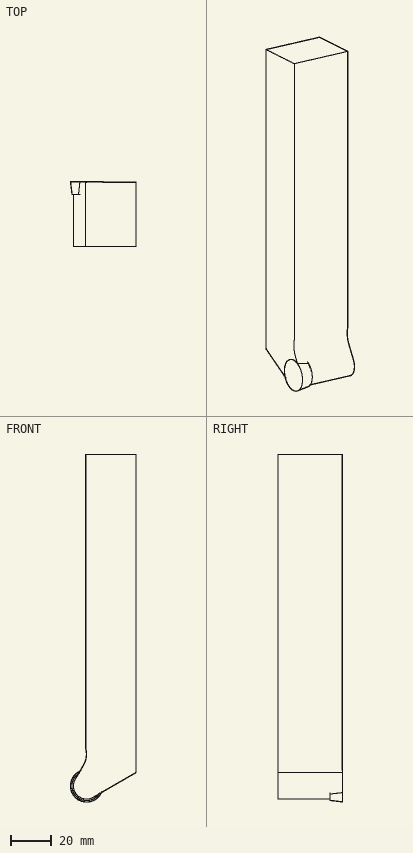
import cadquery as cq
import math


shank_width = 24.9
overall_width = 32.35
overall_depth = 32.0
overall_length = 171.35

insert_radius = 8.0
insert_thickness = 6.35
insert_overhang = 0.15
clearance_angle = 7.0

nose_radius = 6.5
neck_lean = 30.0
underside_slope = 30.0

relief_radius = 11.0
relief_depth = 0.4

shank_right = overall_width - insert_radius
shank_left = shank_right - shank_width
shank_top = overall_length - insert_radius

insert_base_radius = insert_radius - insert_thickness * math.tan(math.radians(clearance_angle))


def nose_point(angle):
    """Point on the nose arc at an angle in degrees, counter-clockwise from +X."""
    turn = math.radians(angle)
    return (nose_radius * math.cos(turn), nose_radius * math.sin(turn))


def make_insert():
    """Tapered disc, widest at the rake face on Y = 0 and narrowing toward -Y."""
    half_section = [
        (0, 0),
        (insert_radius, 0),
        (insert_base_radius, -insert_thickness),
        (0, -insert_thickness),
    ]
    return cq.Workplane("XY").polyline(half_section).close().revolve(360, (0, 0, 0), (0, 1, 0))


def make_holder(insert):
    """Shank and nose in one extrusion, with a seat that fits the insert."""
    underside_angle = underside_slope - 90
    neck_angle = 180 - neck_lean
    underside_start = nose_point(underside_angle)
    neck_start = nose_point(neck_angle)
    nose_middle = nose_point((underside_angle + neck_angle - 360) / 2)

    underside_rise = (shank_right - underside_start[0]) * math.tan(math.radians(underside_slope))
    underside_end = (shank_right, underside_start[1] + underside_rise)

    lean = math.radians(neck_lean)
    relief_center_x = shank_left + relief_depth - relief_radius
    relief_start_x = relief_center_x + relief_radius * math.cos(lean)
    relief_start_z = neck_start[1] + (relief_start_x - neck_start[0]) / math.tan(lean)
    relief_center_z = relief_start_z + relief_radius * math.sin(lean)
    relief_start = (relief_start_x, relief_start_z)
    relief_deepest = (relief_center_x + relief_radius, relief_center_z)
    relief_rise = math.sqrt(relief_radius**2 - (relief_radius - relief_depth) ** 2)
    relief_end = (shank_left, relief_center_z + relief_rise)

    body = (
        cq.Workplane("XZ", origin=(0, -insert_overhang, 0))
        .moveTo(*underside_end)
        .lineTo(shank_right, shank_top)
        .lineTo(shank_left, shank_top)
        .lineTo(*relief_end)
        .threePointArc(relief_deepest, relief_start)
        .lineTo(*neck_start)
        .threePointArc(nose_middle, underside_start)
        .close()
        .extrude(overall_depth - insert_overhang)
    )
    return body.cut(insert)


insert = make_insert()
holder = make_holder(insert)

result = cq.Compound.makeCompound([holder.val(), insert.val()])